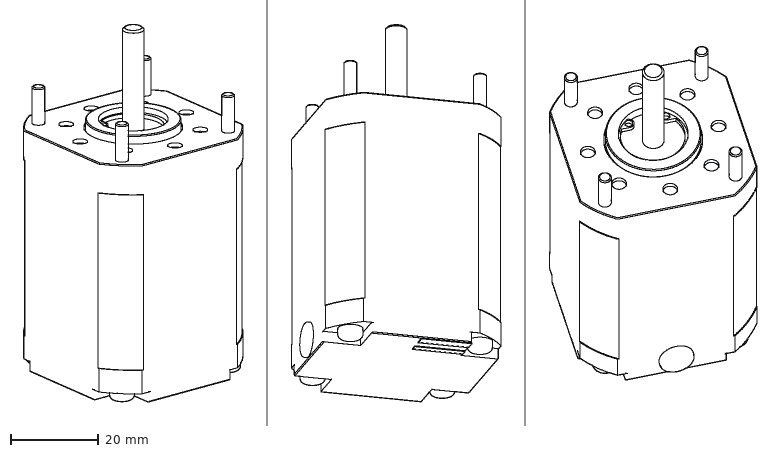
import cadquery as cq
import math

body_width = 42.0
half_width = body_width / 2
rear_cap_top = 8.3
front_cap_bottom = 51.2
front_face = 58.55
cap_corner_radius = 25.2
stack_corner_radius = 25.0
cap_edge_chamfer = 0.25
front_corner_fillet = 0.5

boss_radius = 11.0
boss_height = 2.0
boss_chamfer = 0.25
boss_top = front_face + boss_height
groove_radius = 11.35
groove_depth = 0.5
bore_radius = 8.0
ring_drop = 1.4
ring_thickness = 1.0
bore_floor = boss_top - ring_drop - ring_thickness

ring_inner_radius = 7.45
ring_inner_offset = -0.45
ring_gap_top = -4.2
lug_x = 4.4
lug_y = -5.45
lug_radius = ring_gap_top - lug_y
lug_hole_radius = 0.9

screw_pitch = 31.0
screw_offset = screw_pitch / 2
blind_hole_count = 8
blind_hole_diameter = 3.4
blind_hole_depth = 1.0

stud_diameter = 3.0
stud_length = 9.0
stud_chamfer = 0.3
head_diameter = 5.8
head_bottom = 0.1
head_fillet = 1.1

relief_height = 2.55
relief_start = 12.0
relief_mouth_fillet = 0.45

plug_radius = 4.1
plug_height = 1.0
plug_fillet = 0.5
plug_z = 4.6
pad_thickness = 0.2
pad_length = 12.0
pad_spans_x = [(-20.8, -18.0), (-15.3, -13.3)]

shaft_diameter = 5.0
shaft_top = 82.9
shaft_chamfer = 0.5

screw_points = [(sx * screw_offset, sy * screw_offset) for sx in (-1, 1) for sy in (-1, 1)]


def rounded_square(bottom, top, corner_radius):
    """Square prism whose corners are turned down to a circle about the motor axis."""
    height = top - bottom
    square = cq.Workplane("XY").workplane(offset=bottom).rect(body_width, body_width).extrude(height)
    disc = cq.Workplane("XY").workplane(offset=bottom).circle(corner_radius).extrude(height)
    return square.intersect(disc)


def cylinder(bottom, top, radius, x=0, y=0):
    """Upright cylinder between two heights."""
    return cq.Workplane("XY").workplane(offset=bottom).center(x, y).circle(radius).extrude(top - bottom)


def make_rear_cap():
    cap = rounded_square(0, rear_cap_top, cap_corner_radius).faces("<Z").chamfer(cap_edge_chamfer)
    mouth = half_width - relief_mouth_fillet
    relief_edge = relief_start - relief_mouth_fillet
    blend = relief_mouth_fillet * (1 - math.sqrt(0.5))
    relief = (
        cq.Workplane("XY")
        .moveTo(relief_start, relief_start)
        .lineTo(mouth, relief_start)
        .threePointArc((half_width - blend, relief_start - blend), (half_width, relief_edge))
        .lineTo(body_width, relief_edge)
        .lineTo(body_width, body_width)
        .lineTo(relief_edge, body_width)
        .lineTo(relief_edge, half_width)
        .threePointArc((relief_start - blend, half_width - blend), (relief_start, mouth))
        .close()
        .extrude(relief_height)
    )
    for quarter in range(4):
        cap = cap.cut(relief.rotate((0, 0, 0), (0, 0, 1), 90 * quarter))
    return cap


def make_front_cap():
    cap = rounded_square(front_cap_bottom, front_face, cap_corner_radius)
    cap = cap.edges("|Z").fillet(front_corner_fillet)
    cap = cap.faces(">Z").chamfer(cap_edge_chamfer)
    cap = cap.cut(cylinder(front_face - groove_depth, front_face, groove_radius))
    boss = cylinder(front_face - groove_depth, boss_top, boss_radius).faces(">Z").chamfer(boss_chamfer)
    cap = cap.union(boss)
    cap = cap.cut(cylinder(bore_floor, boss_top, bore_radius))
    for index in range(blind_hole_count):
        angle = math.radians(index * 360 / blind_hole_count)
        x = screw_offset * math.cos(angle)
        y = screw_offset * math.sin(angle)
        cap = cap.cut(cylinder(front_face - blind_hole_depth, front_face, blind_hole_diameter / 2, x, y))
    return cap


def make_retaining_ring():
    top = bore_floor + ring_thickness
    ring = cylinder(bore_floor, top, bore_radius)
    ring = ring.cut(cylinder(bore_floor, top, ring_inner_radius, 0, ring_inner_offset))
    gap_height = bore_radius + ring_gap_top
    gap = (
        cq.Workplane("XY").workplane(offset=bore_floor)
        .center(0, ring_gap_top - gap_height / 2)
        .rect(2 * lug_x, gap_height)
        .extrude(ring_thickness)
    )
    ring = ring.cut(gap)
    for side in (-1, 1):
        x = side * lug_x
        web = (
            cq.Workplane("XY").workplane(offset=bore_floor)
            .center(x + side * lug_radius, lug_y)
            .rect(2 * lug_radius, 2 * lug_radius)
            .extrude(ring_thickness)
        )
        lug = cylinder(bore_floor, top, lug_radius, x, lug_y).union(web)
        lug = lug.intersect(cylinder(bore_floor, top, bore_radius))
        ring = ring.union(lug).cut(cylinder(bore_floor, top, lug_hole_radius, x, lug_y))
    return ring


def make_screw(x, y):
    stud = cylinder(front_face, front_face + stud_length, stud_diameter / 2, x, y)
    stud = stud.faces(">Z").chamfer(stud_chamfer)
    head = cylinder(head_bottom, relief_height, head_diameter / 2, x, y)
    head = head.faces("<Z").edges().fillet(head_fillet)
    return stud, head


def make_plug():
    plug = cq.Workplane("XZ", origin=(0, half_width, plug_z)).circle(plug_radius).extrude(-plug_height)
    return plug.faces(">Y").edges().fillet(plug_fillet)


def make_motor():
    rear = make_rear_cap().union(make_plug())
    for left, right in pad_spans_x:
        pad = cq.Workplane("XY").box(right - left, pad_length, pad_thickness, centered=False)
        rear = rear.union(pad.translate((left, -pad_length, -pad_thickness)))
    front = make_front_cap().union(make_retaining_ring())
    for x, y in screw_points:
        stud, head = make_screw(x, y)
        front = front.union(stud)
        rear = rear.union(head)
    stack = rounded_square(rear_cap_top, front_cap_bottom, stack_corner_radius)
    return stack.union(rear, clean=False).union(front, clean=False).solids()


def make_shaft():
    return cylinder(bore_floor, shaft_top, shaft_diameter / 2).faces(">Z").chamfer(shaft_chamfer)


motor = make_motor()
shaft = make_shaft()

result = cq.Compound.makeCompound([motor.val(), shaft.val()])